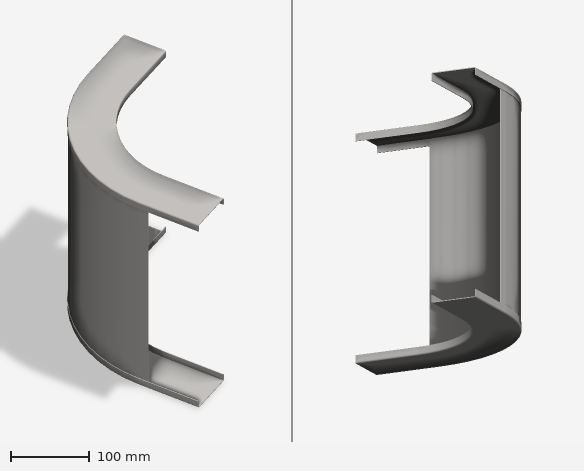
import cadquery as cq
import math

height = 303.0
side = 273.5
tray_width = 62.7
outer_radius = 184.5
flange_height = 10.5
fold_radius = 2.0
sheet = 1.1
wall_overrun = 14.2

straight_length = side - outer_radius


def bend_strip(radius, depth, run):
    """Outline a strip bent by 90 degrees, with a straight run at each end.

    The strip reaches `depth` inward from an arc of `radius`. All strips share one bend centre,
    so that strips of different radii nest inside each other.
    """
    centre = outer_radius
    end = centre + run
    outer_edge = centre - radius
    inner_edge = outer_edge + depth
    outer_middle = centre - radius * math.sqrt(0.5)
    inner_middle = centre - (radius - depth) * math.sqrt(0.5)
    return (
        cq.Workplane("XY")
        .moveTo(outer_edge, end)
        .lineTo(outer_edge, centre)
        .threePointArc((outer_middle, outer_middle), (centre, outer_edge))
        .lineTo(end, outer_edge)
        .lineTo(end, inner_edge)
        .lineTo(centre, inner_edge)
        .threePointArc((inner_middle, inner_middle), (inner_edge, centre))
        .lineTo(inner_edge, end)
        .close()
    )


def make_side_plate():
    """Lower side plate: a curved channel with flanges pointing up along both long edges."""
    outside = bend_strip(outer_radius, tray_width, straight_length).extrude(flange_height)
    end_edges = "(>X and |Y) or (>Y and |X)"
    outside = outside.faces("<Z").edges(f"not ({end_edges})").fillet(fold_radius)

    channel = bend_strip(outer_radius - sheet, tray_width - 2 * sheet, straight_length)
    channel = channel.extrude(flange_height - sheet).translate((0, 0, sheet))
    return outside.cut(channel)


def make_wall():
    """Curved wall standing between the side plates, against the inside of their outer flanges."""
    strip = bend_strip(outer_radius - sheet, sheet, wall_overrun)
    return strip.extrude(height - 2 * sheet).translate((0, 0, sheet))


lower_plate = make_side_plate()
upper_plate = lower_plate.mirror("XY", (0, 0, height / 2))
wall = make_wall()

result = cq.Compound.makeCompound([lower_plate.val(), upper_plate.val(), wall.val()])